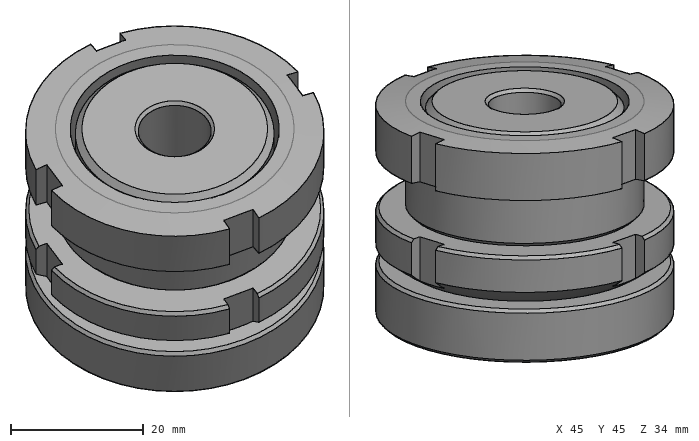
import cadquery as cq
import math

outer_radius = 22.5
tier_height = 8.5
total_height = 4 * tier_height
edge_chamfer = 0.5
bore_radius = 5.5

sphere_radius = 36.0
sphere_rim_z = 11.35
sphere_center_z = sphere_rim_z + math.sqrt(sphere_radius**2 - outer_radius**2)

nut_top_z = 2 * tier_height
stud_radius = 15.0
stud_chamfer = 1.0

disc_bottom_z = 3 * tier_height
collar_radius = 18.0
collar_chamfer = 0.6
ring_bore_radius = 15.75
cone_rise = 0.5

slot_count = 4
slot_width = 5.0
slot_floor_radius = 20.5


def sphere_height(radius):
    """Height of the lower half of the joint sphere at a distance from the axis."""
    return sphere_center_z - math.sqrt(sphere_radius**2 - radius**2)


def revolve_outline(outline):
    """Turn a closed (radius, height) outline around the Z axis."""
    return outline.close().revolve(360, (0, 0, 0), (0, 1, 0))


def cut_spanner_slots(body):
    """Cut the evenly spaced slots through the full height of a rim."""
    slot_depth = outer_radius - slot_floor_radius
    slot = cq.Workplane("XY").box(
        2 * slot_depth, slot_width, total_height, centered=(False, True, False)
    ).translate((slot_floor_radius, 0, 0))
    for index in range(slot_count):
        body = body.cut(slot.rotate((0, 0, 0), (0, 0, 1), index * 360 / slot_count))
    return body


def make_base():
    """Round foot with a spherical seat in its top face."""
    seat_radius = math.sqrt(sphere_radius**2 - (sphere_center_z - tier_height)**2)
    seat_middle_radius = (bore_radius + seat_radius) / 2
    return revolve_outline(
        cq.Workplane("XZ")
        .moveTo(bore_radius, 0)
        .lineTo(outer_radius - edge_chamfer, 0)
        .lineTo(outer_radius, edge_chamfer)
        .lineTo(outer_radius, tier_height - edge_chamfer)
        .lineTo(outer_radius - edge_chamfer, tier_height)
        .lineTo(seat_radius, tier_height)
        .threePointArc(
            (seat_middle_radius, sphere_height(seat_middle_radius)),
            (bore_radius, sphere_height(bore_radius)),
        )
    )


def make_adjusting_nut():
    """Slotted nut with a spherical underside and a stud rising through the lock ring."""
    middle_radius = (bore_radius + outer_radius) / 2
    nut = revolve_outline(
        cq.Workplane("XZ")
        .moveTo(bore_radius, sphere_height(bore_radius))
        .threePointArc(
            (middle_radius, sphere_height(middle_radius)),
            (outer_radius, sphere_rim_z),
        )
        .lineTo(outer_radius, nut_top_z - edge_chamfer)
        .lineTo(outer_radius - edge_chamfer, nut_top_z)
        .lineTo(stud_radius, nut_top_z)
        .lineTo(stud_radius, total_height - stud_chamfer)
        .lineTo(stud_radius - stud_chamfer, total_height)
        .lineTo(bore_radius + edge_chamfer, total_height)
        .lineTo(bore_radius, total_height - edge_chamfer)
    )
    return cut_spanner_slots(nut)


def make_lock_ring():
    """Slotted disc on a collar that stands on top of the nut."""
    ring = revolve_outline(
        cq.Workplane("XZ")
        .moveTo(ring_bore_radius, nut_top_z)
        .lineTo(collar_radius - collar_chamfer, nut_top_z)
        .lineTo(collar_radius, nut_top_z + collar_chamfer)
        .lineTo(collar_radius, disc_bottom_z)
        .lineTo(outer_radius, disc_bottom_z + cone_rise)
        .lineTo(outer_radius, total_height - cone_rise)
        .lineTo(collar_radius, total_height)
        .lineTo(ring_bore_radius, total_height)
    )
    return cut_spanner_slots(ring)


base = make_base()
adjusting_nut = make_adjusting_nut()
lock_ring = make_lock_ring()

result = cq.Compound.makeCompound([base.val(), adjusting_nut.val(), lock_ring.val()])